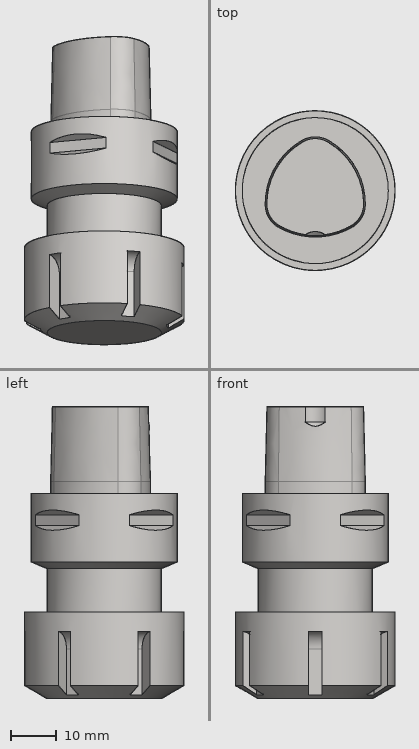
import cadquery as cq
import math

nut_height = 19.0
neck_top = 28.5
flange_top = 45.0
straight_shank_top = 47.6
total_height = 64

nut_radius = 35.0 / 2
neck_radius = 25.0 / 2
flange_radius = 32 / 2
nut_chamfer_angle = math.radians(30)
flange_chamfer = 1.5

slot_count = 6
slot_width = 3.0
slot_floor_radius = 13.95
slot_floor_top = 10.95
slot_top = 14.7

notch_count = 4
notch_floor_radius = 14.5
notch_center_height = 39.1
notch_floor_height = 2.4
notch_wall_angle = math.radians(35)

lobe_count = 3
lobe_center_radius = 5.95
lobe_radius = 5.8
shank_inset = 0.4

pocket_radius = 3.5
pocket_back = 8.95
pocket_wall_bottom = 60.6


def polar(radius, angle):
    return (radius * math.cos(angle), radius * math.sin(angle))


def body():
    """Nut, neck and flange, revolved about Z."""
    nut_chamfer = (nut_radius - neck_radius) * math.tan(nut_chamfer_angle)
    profile = [
        (0, 0),
        (neck_radius, 0),
        (nut_radius, nut_chamfer),
        (nut_radius, nut_height),
        (neck_radius, nut_height),
        (neck_radius, neck_top),
        (flange_radius, neck_top + flange_chamfer),
        (flange_radius, flange_top),
        (0, flange_top),
    ]
    return cq.Workplane("XZ").polyline(profile).close().revolve(360, (0, 0), (0, 1))


def lobed_outline(workplane, radius):
    """Close a constant-width outline: small arcs at the lobes, large arcs between them."""
    lobe_step = 2 * math.pi / lobe_count
    half_lobe = lobe_step / 4
    side_radius = math.sqrt(3) * lobe_center_radius + radius
    first_lobe = math.pi / 2

    def lobe_point(lobe_angle, offset):
        center_x, center_y = polar(lobe_center_radius, lobe_angle)
        x, y = polar(radius, lobe_angle + offset)
        return (center_x + x, center_y + y)

    outline = workplane.moveTo(*lobe_point(first_lobe, -half_lobe))
    for i in range(lobe_count):
        angle = first_lobe + i * lobe_step
        side_middle = polar(side_radius - lobe_center_radius, angle + lobe_step / 2)
        outline = outline.threePointArc(lobe_point(angle, 0), lobe_point(angle, half_lobe))
        outline = outline.threePointArc(side_middle, lobe_point(angle + lobe_step, -half_lobe))
    return outline.close()


def shank():
    """Straight foot below a taper that narrows towards the top."""
    base = cq.Workplane("XY").workplane(offset=flange_top)
    foot = lobed_outline(base, lobe_radius).extrude(straight_shank_top - flange_top)
    taper_base = lobed_outline(cq.Workplane("XY").workplane(offset=straight_shank_top), lobe_radius)
    taper_top = taper_base.workplane(offset=total_height - straight_shank_top)
    taper = lobed_outline(taper_top, lobe_radius - shank_inset).loft(ruled=True)
    return foot.union(taper)


def nut_slot():
    """Slot on the +X side, open at the bottom, with a rounded run-out at the top."""
    run_out_height = slot_top - slot_floor_top
    depth = nut_radius - slot_floor_radius
    arc_radius = (depth**2 + run_out_height**2) / (2 * depth)
    arc_angle = math.asin(run_out_height / arc_radius) / 2
    arc_middle = (
        slot_floor_radius + arc_radius * (1 - math.cos(arc_angle)),
        slot_floor_top + arc_radius * math.sin(arc_angle),
    )
    outer = 1.1 * nut_radius
    return (
        cq.Workplane("XZ")
        .moveTo(slot_floor_radius, 0)
        .lineTo(slot_floor_radius, slot_floor_top)
        .threePointArc(arc_middle, (nut_radius, slot_top))
        .lineTo(outer, slot_top)
        .lineTo(outer, 0)
        .close()
        .extrude(slot_width / 2, both=True)
    )


def flange_notch():
    """Straight notch across the +X side with sloping upper and lower walls."""
    depth = flange_radius - notch_floor_radius
    half_floor = notch_floor_height / 2
    half_mouth = half_floor + depth * math.tan(notch_wall_angle)
    profile = [
        (notch_floor_radius, notch_center_height - half_floor),
        (flange_radius, notch_center_height - half_mouth),
        (flange_radius, notch_center_height + half_mouth),
        (notch_floor_radius, notch_center_height + half_floor),
    ]
    return cq.Workplane("XZ").polyline(profile).close().extrude(flange_radius, both=True)


def key_pocket():
    """Round pocket breaking out of the -Y side of the shank, with a 90 degree conical bottom."""
    axis_y = -(pocket_back + pocket_radius)
    profile = [
        (0, pocket_wall_bottom - pocket_radius),
        (pocket_radius, pocket_wall_bottom),
        (pocket_radius, total_height),
        (0, total_height),
    ]
    drill = cq.Workplane("XZ").polyline(profile).close().revolve(360, (0, 0), (0, 1))
    return drill.translate((0, axis_y, 0))


result = body().union(shank())
for i in range(slot_count):
    slot_angle = -90 + i * 360 / slot_count
    result = result.cut(nut_slot().rotate((0, 0, 0), (0, 0, 1), slot_angle))
for i in range(notch_count):
    notch_angle = 45 + i * 360 / notch_count
    result = result.cut(flange_notch().rotate((0, 0, 0), (0, 0, 1), notch_angle))
result = result.cut(key_pocket())